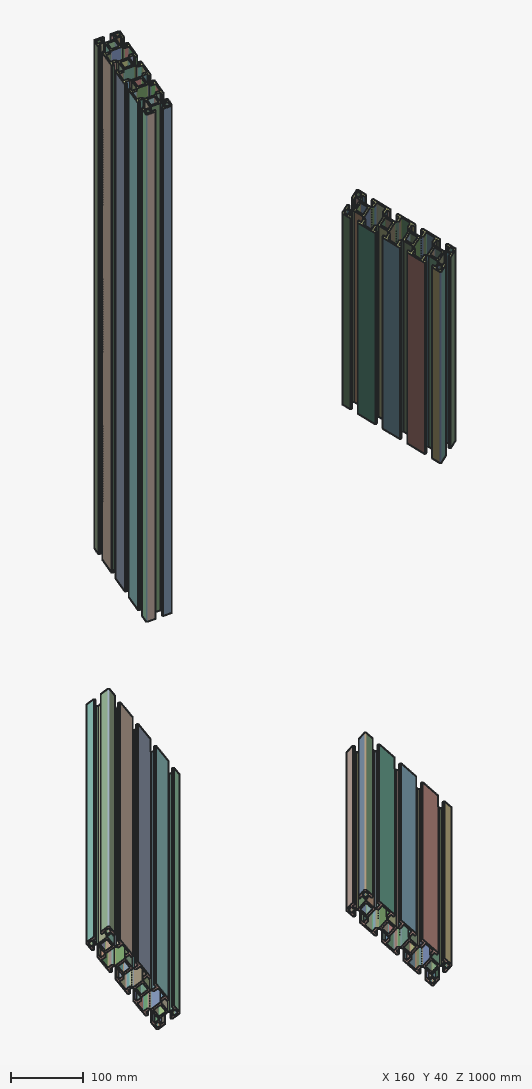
import cadquery as cq

length = 1000.0
module = 40.0
module_count = 4
width = module * module_count
corner_radius = 2.0

slot_opening = 10.0
mouth_chamfer = 1.1
lip_thickness = 3.5
slot_inner_width = 19.0
slot_floor_width = 14.0
slot_wall_depth = 10.0
slot_taper_depth = 1.5
slot_depth = slot_wall_depth + slot_taper_depth

core_size = 12.0
core_edge_radius = 1.0

cavity_wall = 2.0
cavity_middle_width = 22.0
cavity_end_width = 14.0
cavity_middle_height = 16.0
cavity_taper_height = 3.0
cavity_edge_radius = 1.0

corner_hollow_size = 6.0
corner_hollow_wall = 2.5
corner_hollow_edge_radius = 1.0

module_centers = [(i - (module_count - 1) / 2) * module for i in range(module_count)]
cavity_centers = [x + module / 2 for x in module_centers[:-1]]


def t_slot():
    """T-slot cutter with its mouth at Y = 0, running toward -Y."""
    half_opening = slot_opening / 2
    half_inner = slot_inner_width / 2
    right_side = [
        (half_opening + mouth_chamfer, 0),
        (half_opening, -mouth_chamfer),
        (half_opening, -lip_thickness),
        (half_inner, -lip_thickness),
        (half_inner, -slot_wall_depth),
        (slot_floor_width / 2, -slot_depth),
    ]
    left_side = [(-x, y) for x, y in reversed(right_side)]
    return cq.Workplane("XY").polyline(right_side + left_side).close().extrude(length)


def cavity():
    """Hollow between two modules, centred on the Z axis, with rounded long edges."""
    half_middle = cavity_middle_width / 2
    half_end = cavity_end_width / 2
    taper_start = cavity_middle_height / 2
    taper_end = taper_start + cavity_taper_height
    half_height = module / 2 - cavity_wall
    upper_right = [(half_middle, taper_start), (half_end, taper_end), (half_end, half_height)]
    upper = upper_right + [(-x, y) for x, y in reversed(upper_right)]
    lower = [(-x, -y) for x, y in upper]
    hollow = cq.Workplane("XY").polyline(upper + lower).close().extrude(length)
    return hollow.edges("|Z").fillet(cavity_edge_radius)


result = cq.Workplane("XY").rect(width, module).extrude(length)
result = result.edges("|Z").fillet(corner_radius)

slot = t_slot()
for x in module_centers:
    upper_slot = slot.translate((x, module / 2, 0))
    result = result.cut(upper_slot).cut(upper_slot.mirror("XZ"))
side_slot = slot.rotate((0, 0, 0), (0, 0, 1), 90).translate((-width / 2, 0, 0))
result = result.cut(side_slot).cut(side_slot.mirror("YZ"))

core_points = [(x, 0) for x in module_centers]
cores = cq.Workplane("XY").pushPoints(core_points).rect(core_size, core_size).extrude(length)
result = result.cut(cores.edges("|Z").fillet(core_edge_radius))

cavity_cutter = cavity()
for x in cavity_centers:
    result = result.cut(cavity_cutter.translate((x, 0, 0)))

corner_inset = corner_hollow_wall + corner_hollow_size / 2
corner_hollows = (
    cq.Workplane("XY")
    .rect(width - 2 * corner_inset, module - 2 * corner_inset, forConstruction=True)
    .vertices()
    .rect(corner_hollow_size, corner_hollow_size)
    .extrude(length)
)
result = result.cut(corner_hollows.edges("|Z").fillet(corner_hollow_edge_radius))